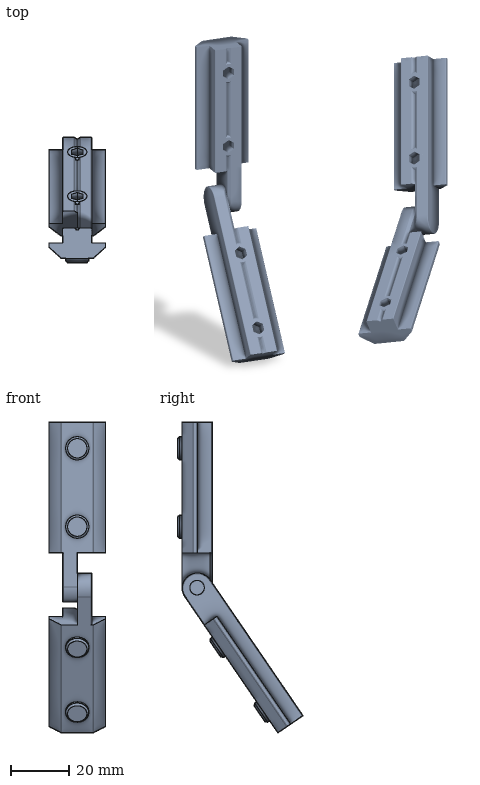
import cadquery as cq
import math

BEND_ANGLE = 34.35

FLANGE_WIDTH = 19.5
STEM_WIDTH = 10.0
ARM_DEPTH = 10.5
FLANGE_DEPTH = 5.35
FRONT_WIDTH = 11.0
FLANGE_EDGE = 1.5
GROOVE_WIDTH = 2.0
GROOVE_DEPTH = 0.8
EDGE_RADIUS = 0.25

BODY_LENGTH = 45.0
TONGUE_REACH = 12.0
ARM_END = TONGUE_REACH + BODY_LENGTH

TONGUE_THICKNESS = STEM_WIDTH / 2
KNUCKLE_RADIUS = ARM_DEPTH / 2
KNUCKLE_OFFSET = 0.25
PIN_DIAMETER = 5.0

SCREW_DIAMETER = 8.0
SCREW_TIP_DIAMETER = 6.65
SCREW_BEVEL = (SCREW_DIAMETER - SCREW_TIP_DIAMETER) / 2
SCREW_PROTRUSION = 1.5
SCREW_LENGTH = ARM_DEPTH + SCREW_PROTRUSION
SCREW_END_MARGIN = 9.0
SCREW_HEIGHTS = [TONGUE_REACH + SCREW_END_MARGIN, ARM_END - SCREW_END_MARGIN]
SOCKET_ACROSS_FLATS = 4.0
SOCKET_DEPTH = 4.0

BACK_Y = ARM_DEPTH / 2
FRONT_Y = -ARM_DEPTH / 2


def make_flange():
    """Bevelled slab at the front of the arm, rounded along its length."""
    top_y = FRONT_Y + FLANGE_DEPTH
    bevel_end_y = top_y - FLANGE_EDGE
    outline = [
        (FRONT_WIDTH / 2, FRONT_Y),
        (FLANGE_WIDTH / 2, bevel_end_y),
        (FLANGE_WIDTH / 2, top_y),
        (-FLANGE_WIDTH / 2, top_y),
        (-FLANGE_WIDTH / 2, bevel_end_y),
        (-FRONT_WIDTH / 2, FRONT_Y),
    ]
    flange = cq.Workplane("XY", origin=(0, 0, TONGUE_REACH)).polyline(outline).close().extrude(BODY_LENGTH)
    return flange.edges("|Z").fillet(EDGE_RADIUS)


def make_stem():
    """Full-depth bar with a V groove along its back, reaching past the end of the tongue."""
    outline = [
        (-STEM_WIDTH / 2, FRONT_Y),
        (STEM_WIDTH / 2, FRONT_Y),
        (STEM_WIDTH / 2, BACK_Y),
        (GROOVE_WIDTH / 2, BACK_Y),
        (0, BACK_Y - GROOVE_DEPTH),
        (-GROOVE_WIDTH / 2, BACK_Y),
        (-STEM_WIDTH / 2, BACK_Y),
    ]
    length = ARM_END + KNUCKLE_RADIUS
    stem = cq.Workplane("XY", origin=(0, 0, -KNUCKLE_RADIUS)).polyline(outline).close().extrude(length)
    return stem.edges("|Z").fillet(EDGE_RADIUS)


def make_tongue():
    """Half-width slab on the -X side with a round end and a rounded outer rim."""
    tongue = (
        cq.Workplane("YZ", origin=(-TONGUE_THICKNESS, 0, 0))
        .moveTo(FRONT_Y, KNUCKLE_OFFSET)
        .threePointArc((0, KNUCKLE_OFFSET - KNUCKLE_RADIUS), (BACK_Y, KNUCKLE_OFFSET))
        .lineTo(BACK_Y, TONGUE_REACH)
        .lineTo(FRONT_Y, TONGUE_REACH)
        .close()
        .extrude(TONGUE_THICKNESS)
    )
    return tongue.faces("<X").edges("not >Z").fillet(EDGE_RADIUS)


def make_screw_blank(height):
    """Screw outline with both ends bevelled, flush with the back of the arm."""
    return (
        cq.Workplane("XZ", origin=(0, BACK_Y, height))
        .circle(SCREW_DIAMETER / 2)
        .extrude(SCREW_LENGTH)
        .edges()
        .chamfer(SCREW_BEVEL)
    )


def make_screw(height):
    """Set screw with a hexagon socket in its back end; two socket corners lie along the arm."""
    socket = (
        cq.Workplane("XZ", origin=(0, BACK_Y, height))
        .transformed(rotate=(0, 0, 90))
        .polygon(6, SOCKET_ACROSS_FLATS / math.cos(math.pi / 6))
        .extrude(SOCKET_DEPTH)
    )
    return make_screw_blank(height).cut(socket)


def make_arm():
    """Arm with a hinge tongue on its -X half, a pin hole and two screw holes."""
    stem_envelope = (
        cq.Workplane("XY", origin=(0, 0, TONGUE_REACH))
        .rect(STEM_WIDTH, ARM_DEPTH)
        .extrude(BODY_LENGTH)
    )
    stem = make_stem().intersect(stem_envelope.union(make_tongue()))
    arm = stem.union(make_flange())
    arm = arm.cut(make_pin())
    for height in SCREW_HEIGHTS:
        arm = arm.cut(make_screw_blank(height))
    return arm


def make_pin():
    """Hinge pin, flush with the outer faces of both tongues."""
    return (
        cq.Workplane("YZ", origin=(-TONGUE_THICKNESS, 0, 0))
        .circle(PIN_DIAMETER / 2)
        .extrude(2 * TONGUE_THICKNESS)
    )


def to_lower_side(body):
    """Turn a body of the upper arm over and swing it to the bent lower position."""
    flipped = body.rotate((0, 0, 0), (0, 1, 0), 180)
    return flipped.rotate((0, 0, 0), (1, 0, 0), BEND_ANGLE)


upper_arm = make_arm()
lower_arm = to_lower_side(upper_arm)
pin = make_pin()

screws = []
for height in SCREW_HEIGHTS:
    screw = make_screw(height)
    screws.append(screw.val())
    screws.append(to_lower_side(screw).val())

result = cq.Compound.makeCompound([upper_arm.val(), lower_arm.val(), pin.val(), *screws])